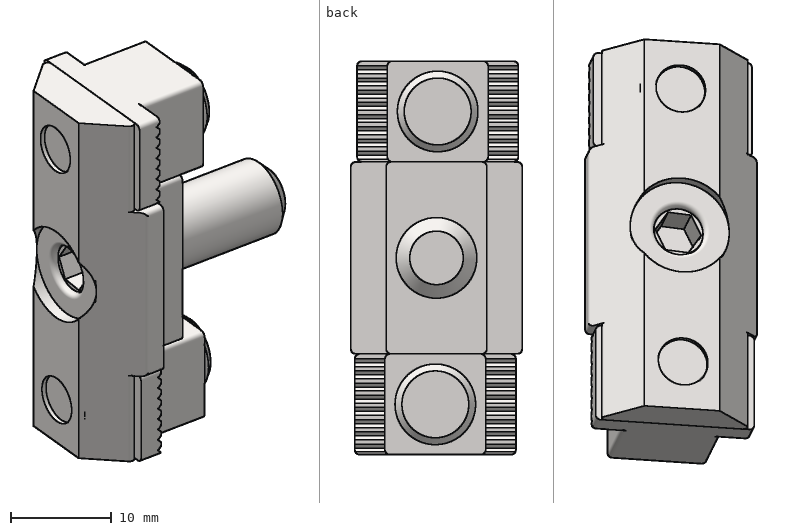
import cadquery as cq
import math


LENGTH = 39.0
BLOCK_HEIGHT = 10.0
MIDDLE_HEIGHT = LENGTH - 2 * BLOCK_HEIGHT
BLOCK_CENTER_Z = (LENGTH - BLOCK_HEIGHT) / 2
BLOCK_SHIFT = 0.1
SIDES = (1, -1)
ROUND = 0.5
STEM_WIDTH = BLOCK_HEIGHT
SHOULDER_Y = 7.0

FRONT_HALF_WIDTH = 3.8
BODY_WIDTH = 17.0
FLANK_ANGLE = 43.3
FLANK_SLOPE = math.tan(math.radians(FLANK_ANGLE))
SEAT_Y = 4.5
BODY_BACK_Y = 11.9

BLOCK_WIDTH = 16.0
BLOCK_BACK_Y = 14.5
GROOVE_COUNT = 8
GROOVE_PITCH = 1.2
GROOVE_DEPTH = 0.4
FIRST_GROOVE_DROP = 0.85

PIN_DIAMETER = 8.0
PIN_ACCESS_DIAMETER = 5.0
PIN_FRONT_Y = 0.5
PIN_END_Y = 16.5
PIN_END_DIAMETER = 6.63
PIN_TAPER = 0.78

SHANK_DIAMETER = PIN_DIAMETER
HEAD_DIAMETER = 10.0
HEAD_FRONT_Y = 1.3
SCREW_END_Y = 26.25
SCREW_END_DIAMETER = 5.3
SCREW_TAPER = (SHANK_DIAMETER - SCREW_END_DIAMETER) / 2
SOCKET_DIAMETER = 5.0
SOCKET_DEPTH = 0.78
HEX_FLATS = 4.0
HEX_DEPTH = 3.9
HEX_TILT = 3.8


def rod(diameter, start_y, end_y):
    """Cylinder on the Y axis."""
    return cq.Workplane("XZ", origin=(0, start_y, 0)).circle(diameter / 2).extrude(start_y - end_y)


def turned(outline):
    """Solid of revolution about the Y axis from (radius, y) points."""
    return cq.Workplane("XY").polyline(outline).close().revolve(360, (0, 0, 0), (0, 1, 0))


def at_block(shape, side):
    """Move a shape from the Y axis to a clamp block: side 1 is the upper one, -1 the lower one."""
    return shape.translate((-side * BLOCK_SHIFT, 0, side * BLOCK_CENTER_Z))


def rounded_bar(width, start_y, end_y, height):
    """Rectangular bar along +Y, centred on the Y axis, with its four long edges rounded."""
    depth = end_y - start_y
    bar = cq.Workplane("XY").box(width, depth, height).edges("|Y").fillet(ROUND)
    return bar.translate((0, start_y + depth / 2, 0))


def prism(outline, height):
    """Prism along Z from an XY outline, centred on Z = 0."""
    return cq.Workplane("XY").polyline(outline).close().extrude(height / 2, both=True)


def make_rail():
    """Full-length front rail that widens to the block seats, with rounded overhanging edges."""
    seat_half_width = FRONT_HALF_WIDTH + SEAT_Y * FLANK_SLOPE
    outline = [
        (-FRONT_HALF_WIDTH, 0),
        (FRONT_HALF_WIDTH, 0),
        (seat_half_width, SEAT_Y),
        (-seat_half_width, SEAT_Y),
    ]
    return prism(outline, LENGTH).edges("|Z and >Y").fillet(ROUND)


def make_body_flange():
    """Wide middle section that continues the rail flanks out to the full body width."""
    half_width = BODY_WIDTH / 2
    flank_end_y = (half_width - FRONT_HALF_WIDTH) / FLANK_SLOPE
    outline = [
        (-FRONT_HALF_WIDTH, 0),
        (FRONT_HALF_WIDTH, 0),
        (half_width, flank_end_y),
        (half_width, SHOULDER_Y),
        (-half_width, SHOULDER_Y),
        (-half_width, flank_end_y),
    ]
    flange = prism(outline, MIDDLE_HEIGHT)
    flange = flange.edges("|Z and (not <Y) and (not >Y)").fillet(ROUND)
    return flange.intersect(rounded_bar(BODY_WIDTH, 0, SHOULDER_Y, MIDDLE_HEIGHT))


def make_body():
    stem = rounded_bar(STEM_WIDTH, SEAT_Y, BODY_BACK_Y, MIDDLE_HEIGHT)
    body = make_rail().union(make_body_flange()).union(stem)
    body = body.cut(rod(HEAD_DIAMETER, 0, SHOULDER_Y))
    body = body.cut(rod(SHANK_DIAMETER, SHOULDER_Y, BODY_BACK_Y))
    for side in SIDES:
        body = body.cut(at_block(rod(PIN_ACCESS_DIAMETER, 0, PIN_FRONT_Y), side))
        body = body.cut(at_block(rod(PIN_DIAMETER, PIN_FRONT_Y, SEAT_Y), side))
    return body


def make_block(side):
    """T-shaped clamp block with V-grooves across the back of its flange."""
    flange = rounded_bar(BLOCK_WIDTH, SEAT_Y, SHOULDER_Y, BLOCK_HEIGHT)
    for i in range(GROOVE_COUNT):
        z = BLOCK_HEIGHT / 2 - FIRST_GROOVE_DROP - i * GROOVE_PITCH
        groove = (
            cq.Workplane("YZ")
            .polyline([
                (SHOULDER_Y, z + GROOVE_DEPTH),
                (SHOULDER_Y - GROOVE_DEPTH, z),
                (SHOULDER_Y, z - GROOVE_DEPTH),
            ])
            .close()
            .extrude(BLOCK_WIDTH, both=True)
        )
        flange = flange.cut(groove)
    stem = rounded_bar(STEM_WIDTH, SEAT_Y, BLOCK_BACK_Y, BLOCK_HEIGHT)
    block = flange.union(stem).cut(rod(PIN_DIAMETER, SEAT_Y, BLOCK_BACK_Y))
    return at_block(block, side)


def make_pin(side):
    pin = turned([
        (0, PIN_FRONT_Y),
        (PIN_DIAMETER / 2, PIN_FRONT_Y),
        (PIN_DIAMETER / 2, PIN_END_Y - PIN_TAPER),
        (PIN_END_DIAMETER / 2, PIN_END_Y),
        (0, PIN_END_Y),
    ])
    return at_block(pin, side)


def make_screw():
    head = rod(HEAD_DIAMETER, HEAD_FRONT_Y, SHOULDER_Y)
    shank = turned([
        (0, SHOULDER_Y),
        (SHANK_DIAMETER / 2, SHOULDER_Y),
        (SHANK_DIAMETER / 2, SCREW_END_Y - SCREW_TAPER),
        (SCREW_END_DIAMETER / 2, SCREW_END_Y),
        (0, SCREW_END_Y),
    ])
    socket_floor_y = HEAD_FRONT_Y + SOCKET_DEPTH
    head = head.cut(rod(SOCKET_DIAMETER, HEAD_FRONT_Y, socket_floor_y))
    head = head.faces("<Y").edges(cq.selectors.RadiusNthSelector(0)).fillet(ROUND)
    hexagon = (
        cq.Workplane("XZ", origin=(0, socket_floor_y, 0))
        .polygon(6, HEX_FLATS / math.cos(math.pi / 6))
        .extrude(-HEX_DEPTH)
        .rotate((0, 0, 0), (0, 1, 0), HEX_TILT)
    )
    return head.union(shank).cut(hexagon)


body = make_body()
screw = make_screw()
blocks = [make_block(side) for side in SIDES]
pins = [make_pin(side) for side in SIDES]

result = cq.Compound.makeCompound(
    [body.val(), screw.val()]
    + [block.val() for block in blocks]
    + [pin.val() for pin in pins]
)